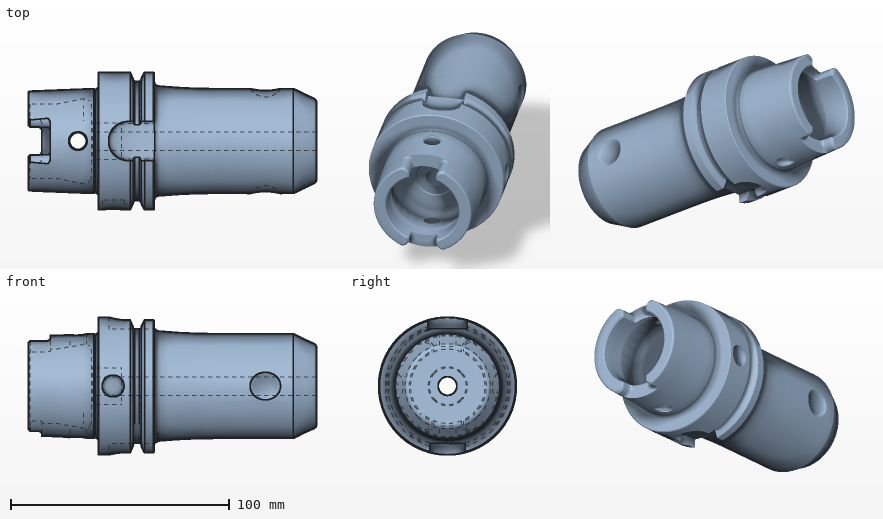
import cadquery as cq
import math


LENGTH = 131.9

MOUTH_RADIUS = 22.8
MOUTH_ROUND = 0.9
GAUGE_RADIUS = 24.0
TAPER_END = 29.8
RELIEF_RADIUS = 23.6
RELIEF_ROUND = 1.3

FLANGE_START = 31.9
FLANGE_END = 57.6
FLANGE_RADIUS = 31.5
FLANGE_CHAMFER = 0.4

GROOVE_FRONT_EDGE = 46.5
GROOVE_FRONT_WALL = 47.9
GROOVE_BACK_WALL = 51.6
GROOVE_BACK_EDGE = 53.2
GROOVE_SHOULDER_RADIUS = 28.6
GROOVE_RADIUS = 27.3
GROOVE_ROUND = 0.8

NECK_RADIUS = 25.2
NECK_ROUND = 2.0
BODY_RADIUS = 24.0
BODY_START = 84.7
NOSE_START = 121.2
NOSE_END_RADIUS = 18.9
NOSE_ROUND = 2.1

CAVITY_RADIUS = 17.0
CAVITY_CHAMFER = 0.7
CAVITY_CONE_START = 12.8
CAVITY_CONE_END = 25.2
CAVITY_INNER_RADIUS = 19.5
CAVITY_FLOOR_ROUND = 3.5
CAVITY_DEPTH = CAVITY_CONE_END + CAVITY_FLOOR_ROUND

PLUG_RADIUS = 8.5
PLUG_LENGTH = 13.2
PLUG_SEAT_CHAMFER = 0.5
CHANNEL_RADIUS = 4.2

SLOT_HALF_WIDTH = 6.3
SLOT_LIP_ROUND = 3.4
SLOT_LIP_HEIGHT = 20.7
SLOT_FLOOR_ROUND = 1.5
SLOT_MOUTH_CHAMFER = 0.9
TOP_SLOT_DEPTH = 10.0
BOTTOM_SLOT_DEPTH = 6.1
SLOT_CUT_BASE = 10.5
SLOT_CUT_HALF_SPAN = 15.8
SLOT_CUT_TOP = 27.7

ACCESS_HOLE_X = 22.7
ACCESS_HOLE_RADIUS = 3.8
ACCESS_HOLE_CHAMFER = 0.4

KEYWAY_FLOOR = 26.2
TOP_KEYWAY_HALF_WIDTH = 9.0
BOTTOM_KEYWAY_HALF_WIDTH = 8.0
KEYWAY_START = 36.7

CHIP_POCKET_X = 38.8
CHIP_POCKET_RADIUS = 5.0
CHIP_POCKET_DEPTH = 4.6

DIMPLE_X = 108.4
DIMPLE_RADIUS = 8.5
DIMPLE_CENTRE_OFFSET = 28.8


def revolve_about_x(profile):
    """Close an (x, radius) outline and turn it about the X axis."""
    return profile.close().revolve(360, (0, 0, 0), (1, 0, 0))


def make_shank():
    """Solid taper, with a filleted relief in front of the flange face."""
    taper = revolve_about_x(
        cq.Workplane("XY")
        .lineTo(0, MOUTH_RADIUS)
        .lineTo(TAPER_END, GAUGE_RADIUS)
        .lineTo(FLANGE_START - RELIEF_ROUND, RELIEF_RADIUS)
        .radiusArc((FLANGE_START, RELIEF_RADIUS + RELIEF_ROUND), -RELIEF_ROUND)
        .lineTo(FLANGE_START, 0)
    )
    return taper.edges("<X").fillet(MOUTH_ROUND)


def make_flange():
    """Gripper flange with its V-groove."""
    rim = FLANGE_RADIUS - FLANGE_CHAMFER
    groove_floor_start = GROOVE_FRONT_WALL + GROOVE_ROUND
    groove_floor_end = GROOVE_BACK_WALL - GROOVE_ROUND
    groove_round_top = GROOVE_RADIUS + GROOVE_ROUND
    return revolve_about_x(
        cq.Workplane("XY")
        .moveTo(FLANGE_START, 0)
        .lineTo(FLANGE_START, rim)
        .lineTo(FLANGE_START + FLANGE_CHAMFER, FLANGE_RADIUS)
        .lineTo(GROOVE_FRONT_EDGE, FLANGE_RADIUS)
        .lineTo(GROOVE_FRONT_WALL, GROOVE_SHOULDER_RADIUS)
        .lineTo(GROOVE_FRONT_WALL, groove_round_top)
        .radiusArc((groove_floor_start, GROOVE_RADIUS), -GROOVE_ROUND)
        .lineTo(groove_floor_end, GROOVE_RADIUS)
        .radiusArc((GROOVE_BACK_WALL, groove_round_top), -GROOVE_ROUND)
        .lineTo(GROOVE_BACK_WALL, GROOVE_SHOULDER_RADIUS)
        .lineTo(GROOVE_BACK_EDGE, FLANGE_RADIUS)
        .lineTo(FLANGE_END - FLANGE_CHAMFER, FLANGE_RADIUS)
        .lineTo(FLANGE_END, rim)
        .lineTo(FLANGE_END, 0)
    )


def make_body():
    """Neck that sweeps down to the cylindrical body, ending in a rounded cone."""
    neck_start = FLANGE_END + NECK_ROUND
    sweep_drop = NECK_RADIUS - BODY_RADIUS
    sweep_length = BODY_START - neck_start
    sweep_radius = (sweep_length**2 + sweep_drop**2) / (2 * sweep_drop)
    body = revolve_about_x(
        cq.Workplane("XY")
        .moveTo(FLANGE_END, 0)
        .lineTo(FLANGE_END, NECK_RADIUS + NECK_ROUND)
        .radiusArc((neck_start, NECK_RADIUS), -NECK_ROUND)
        .radiusArc((BODY_START, BODY_RADIUS), -sweep_radius)
        .lineTo(NOSE_START, BODY_RADIUS)
        .lineTo(LENGTH, NOSE_END_RADIUS)
        .lineTo(LENGTH, 0)
    )
    return body.faces(">X").edges().fillet(NOSE_ROUND)


def make_cavity():
    """Void inside the holder: taper cavity, plug seat and channel to the nose."""
    seat_end = CAVITY_DEPTH + PLUG_SEAT_CHAMFER + PLUG_LENGTH
    return revolve_about_x(
        cq.Workplane("XY")
        .lineTo(0, CAVITY_RADIUS + CAVITY_CHAMFER)
        .lineTo(CAVITY_CHAMFER, CAVITY_RADIUS)
        .lineTo(CAVITY_CONE_START, CAVITY_RADIUS)
        .lineTo(CAVITY_CONE_END, CAVITY_INNER_RADIUS)
        .radiusArc((CAVITY_DEPTH, CAVITY_INNER_RADIUS - CAVITY_FLOOR_ROUND), CAVITY_FLOOR_ROUND)
        .lineTo(CAVITY_DEPTH, PLUG_RADIUS + PLUG_SEAT_CHAMFER)
        .lineTo(CAVITY_DEPTH + PLUG_SEAT_CHAMFER, PLUG_RADIUS)
        .lineTo(seat_end, PLUG_RADIUS)
        .lineTo(seat_end, CHANNEL_RADIUS)
        .lineTo(LENGTH, CHANNEL_RADIUS)
        .lineTo(LENGTH, 0)
    )


def slot_section(x):
    """Drive slot outline across the axis: straight walls opening over rounded lips."""
    wall_top = SLOT_LIP_HEIGHT - SLOT_LIP_ROUND
    lip_edge = SLOT_HALF_WIDTH + SLOT_LIP_ROUND
    return (
        cq.Workplane("YZ", origin=(x, 0, 0))
        .moveTo(-SLOT_HALF_WIDTH, SLOT_CUT_BASE)
        .lineTo(-SLOT_HALF_WIDTH, wall_top)
        .radiusArc((-lip_edge, SLOT_LIP_HEIGHT), -SLOT_LIP_ROUND)
        .lineTo(-SLOT_CUT_HALF_SPAN, SLOT_LIP_HEIGHT)
        .lineTo(-SLOT_CUT_HALF_SPAN, SLOT_CUT_TOP)
        .lineTo(SLOT_CUT_HALF_SPAN, SLOT_CUT_TOP)
        .lineTo(SLOT_CUT_HALF_SPAN, SLOT_LIP_HEIGHT)
        .lineTo(lip_edge, SLOT_LIP_HEIGHT)
        .radiusArc((SLOT_HALF_WIDTH, wall_top), -SLOT_LIP_ROUND)
        .lineTo(SLOT_HALF_WIDTH, SLOT_CUT_BASE)
        .close()
    )


def make_drive_slot(depth):
    """Cutter for a drive slot on the +Z side, with rounded floor and chamfered mouth."""
    slot = slot_section(0).extrude(depth).faces(">X").edges().fillet(SLOT_FLOOR_ROUND)
    mouth = slot_section(SLOT_MOUTH_CHAMFER).extrude(-SLOT_MOUTH_CHAMFER, taper=-45)
    return slot.union(mouth)


def make_keyway(half_width):
    """Cutter for a round-ended keyway on the +Z side, open at the back of the flange."""
    height = FLANGE_RADIUS - KEYWAY_FLOOR
    end_centre = KEYWAY_START + half_width
    open_end = FLANGE_END + NECK_ROUND
    return (
        cq.Workplane("XY", origin=(0, 0, KEYWAY_FLOOR))
        .moveTo(open_end, half_width)
        .lineTo(end_centre, half_width)
        .threePointArc((KEYWAY_START, 0), (end_centre, -half_width))
        .lineTo(open_end, -half_width)
        .close()
        .extrude(height)
    )


def turn_to_bottom(cutter):
    """Turn a cutter from the +Z side to the -Z side."""
    return cutter.rotate((0, 0, 0), (1, 0, 0), 180)


def make_half_access_hole():
    """Cutter for the +Z half of the access hole, countersunk at the taper surface."""
    taper_slope = (GAUGE_RADIUS - MOUTH_RADIUS) / TAPER_END
    surface_radius = MOUTH_RADIUS + taper_slope * ACCESS_HOLE_X
    rim_radius = ACCESS_HOLE_RADIUS + ACCESS_HOLE_CHAMFER
    rim_height = math.sqrt(surface_radius**2 - rim_radius**2)
    return (
        cq.Workplane("XZ", origin=(ACCESS_HOLE_X, 0, 0))
        .lineTo(ACCESS_HOLE_RADIUS, 0)
        .lineTo(ACCESS_HOLE_RADIUS, rim_height - ACCESS_HOLE_CHAMFER)
        .lineTo(rim_radius, rim_height)
        .lineTo(rim_radius, GAUGE_RADIUS)
        .lineTo(0, GAUGE_RADIUS)
        .close()
        .revolve(360, (0, 0, 0), (0, 1, 0))
    )


def make_access_hole():
    """Cutter for the hole across the whole taper."""
    half = make_half_access_hole()
    return half.union(turn_to_bottom(half))


def make_chip_pocket():
    """Cutter for the flat-bottomed round pocket on the -Y side."""
    return (
        cq.Workplane("XZ", origin=(CHIP_POCKET_X, -FLANGE_RADIUS, 0))
        .circle(CHIP_POCKET_RADIUS)
        .extrude(-CHIP_POCKET_DEPTH)
    )


def make_dimple(side):
    """Ball cutter for the dimple on the given Y side (+1 or -1)."""
    return cq.Workplane("XY", origin=(DIMPLE_X, side * DIMPLE_CENTRE_OFFSET, 0)).sphere(DIMPLE_RADIUS)


def make_holder():
    """Holder body with all its cavities, slots, holes and dimples."""
    holder = make_shank().union(make_flange()).union(make_body()).cut(make_cavity())
    holder = holder.cut(make_drive_slot(TOP_SLOT_DEPTH))
    holder = holder.cut(turn_to_bottom(make_drive_slot(BOTTOM_SLOT_DEPTH)))
    holder = holder.cut(make_keyway(TOP_KEYWAY_HALF_WIDTH))
    holder = holder.cut(turn_to_bottom(make_keyway(BOTTOM_KEYWAY_HALF_WIDTH)))
    holder = holder.cut(make_access_hole())
    holder = holder.cut(make_chip_pocket())
    for side in (-1, 1):
        holder = holder.cut(make_dimple(side))
    return holder.solids()


def make_plug():
    """Coolant plug seated in the cavity floor, drilled through along the axis."""
    return (
        cq.Workplane("YZ", origin=(CAVITY_DEPTH + PLUG_SEAT_CHAMFER, 0, 0))
        .circle(PLUG_RADIUS)
        .circle(CHANNEL_RADIUS)
        .extrude(PLUG_LENGTH)
    )


holder = make_holder()
plug = make_plug()
result = cq.Compound.makeCompound([holder.val(), plug.val()])